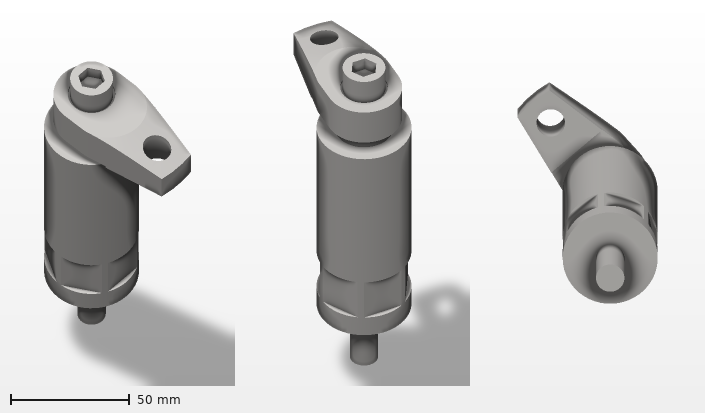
import cadquery as cq
import math

screw_length = 164.0
housing_bottom = 30.0
flats_bottom = 40.0
flats_top = 60.0
housing_top = 130.0
lever_bottom = 136.0
lever_top = 153.0

housing_diameter = 40.0
flats_width = 35.9
hexagon_sides = 6

shank_diameter = 12.0
head_diameter = 18.0
head_height = 12.0
head_bottom = screw_length - head_height
socket_width = 10.0
socket_depth = 6.0

hub_diameter = 25.0
lever_radius = 16.0
lever_arc_offset = 10.0
handle_reach = 50.0
handle_side_angle = 10.7
handle_slope = 13.8
handle_drop = 1.0
handle_bottom = lever_bottom - handle_drop
handle_step_x = 21.5
handle_hole_x = 38.0
handle_hole_diameter = 12.0
head_recess_diameter = 20.0


def cylinder(diameter, bottom, top, x=0.0):
    """Vertical cylinder centred on the X axis."""
    return cq.Workplane("XY", origin=(x, 0, bottom)).circle(diameter / 2).extrude(top - bottom)


def hexagon_prism(across_flats, bottom, top):
    """Hexagonal prism with two of its flats facing along X."""
    across_corners = across_flats / math.cos(math.pi / hexagon_sides)
    half_side_turn = 180 / hexagon_sides
    base = cq.Workplane("XY", origin=(0, 0, bottom)).transformed(rotate=(0, 0, half_side_turn))
    return base.polygon(hexagon_sides, across_corners).extrude(top - bottom)


def make_housing():
    """Round sleeve with a band of wrench flats and a through bore."""
    body = cylinder(housing_diameter, housing_bottom, housing_top)
    band = cylinder(housing_diameter, flats_bottom, flats_top)
    waste = band.cut(hexagon_prism(flats_width, flats_bottom, flats_top))
    bore = cylinder(shank_diameter, housing_bottom, housing_top)
    return body.cut(waste).cut(bore)


def make_screw():
    """Long cap screw with a hexagon socket in its head."""
    shank = cylinder(shank_diameter, 0, head_bottom)
    head = cylinder(head_diameter, head_bottom, screw_length)
    socket = hexagon_prism(socket_width, screw_length - socket_depth, screw_length)
    return shank.union(head).cut(socket)


def make_lever_head():
    """Flat head of the lever, with rounded ends."""
    return (
        cq.Workplane("XY", origin=(lever_arc_offset / 2, 0, lever_bottom))
        .slot2D(lever_arc_offset + 2 * lever_radius, 2 * lever_radius)
        .extrude(lever_top - lever_bottom)
    )


def make_handle_blank():
    """Tapered handle, tangent to the head's arc and rounded at the tip."""
    angle = math.radians(handle_side_angle)
    root_x = lever_arc_offset + lever_radius * math.sin(angle)
    root_y = lever_radius * math.cos(angle)
    end_y = root_y - (handle_reach - root_x) * math.tan(angle)
    taper = (
        cq.Workplane("XY", origin=(0, 0, handle_bottom))
        .polyline([(root_x, -root_y), (handle_reach, -end_y), (handle_reach, end_y), (root_x, root_y)])
        .close()
        .extrude(lever_top - handle_bottom)
    )
    tip = cylinder(2 * handle_reach, handle_bottom, lever_top)
    step = cq.Workplane("XY", origin=(0, 0, handle_bottom)).rect(2 * handle_step_x, 2 * handle_reach)
    return taper.intersect(tip).cut(step.extrude(handle_drop))


def make_slope_cone():
    """Cone about the outer arc centre; it bounds the sloping handle top."""
    drop_per_length = math.tan(math.radians(handle_slope))
    apex = lever_top + lever_radius * drop_per_length
    base_radius = (apex - handle_bottom) / drop_per_length
    return (
        cq.Workplane("XZ", origin=(lever_arc_offset, 0, 0))
        .polyline([(0, handle_bottom), (base_radius, handle_bottom), (0, apex)])
        .close()
        .revolve(360, (0, 0), (0, 1))
    )


def make_lever():
    """Lever with a hub below, a handle, a bore and a recess for the screw head."""
    handle = make_handle_blank().intersect(make_slope_cone())
    hub = cylinder(hub_diameter, housing_top, lever_bottom)
    bore = cylinder(shank_diameter, housing_top, lever_top)
    recess = cylinder(head_recess_diameter, head_bottom, lever_top)
    handle_hole = cylinder(handle_hole_diameter, handle_bottom, lever_top, handle_hole_x)
    return make_lever_head().union(handle).union(hub).cut(bore).cut(recess).cut(handle_hole)


housing = make_housing()
screw = make_screw()
lever = make_lever()

result = cq.Compound.makeCompound([housing.solids().val(), screw.solids().val(), lever.solids().val()])